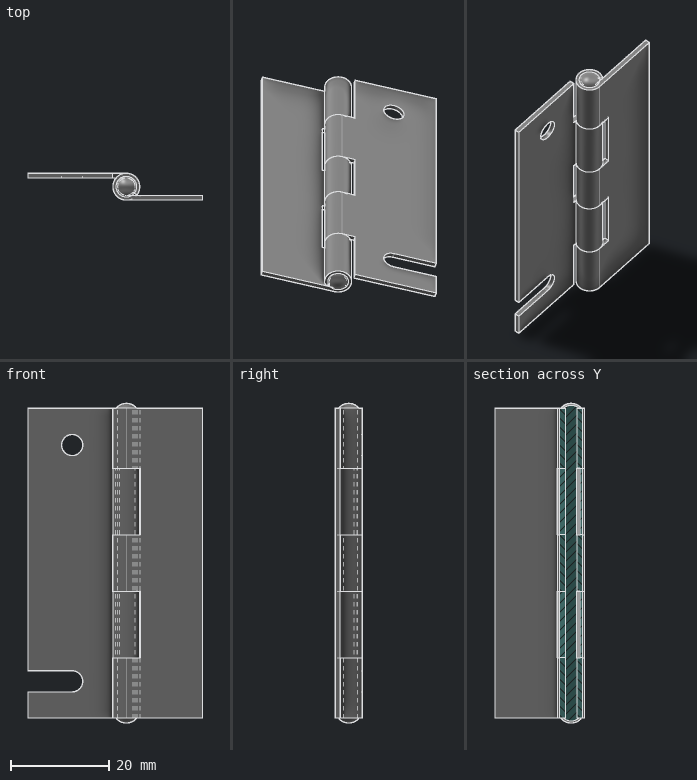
import cadquery as cq
import math

leaf_height = 63.0
sheet_thickness = 1.0
barrel_radius = 2.75
bore_radius = barrel_radius - sheet_thickness
barrel_clearance = 0.05
plate_setback = barrel_radius + barrel_clearance
curl_start_angle = 270.0
curl_end_angle = -38.0
slotted_leaf_reach = 20.0
plain_leaf_reach = 15.5

center_knuckle_length = 11.5
side_knuckle_length = 13.5
side_knuckle_offset = (center_knuckle_length + side_knuckle_length) / 2
end_knuckle_length = leaf_height / 2 - center_knuckle_length / 2 - side_knuckle_length
end_knuckle_offset = (leaf_height - end_knuckle_length) / 2
side_knuckles = [(z, side_knuckle_length) for z in (-side_knuckle_offset, side_knuckle_offset)]
plain_knuckles = [
    (-end_knuckle_offset, end_knuckle_length),
    (0, center_knuckle_length),
    (end_knuckle_offset, end_knuckle_length),
]

hole_diameter = 4.25
hole_x = -11.0
hole_z = 24.0

head_radius = 2.1
head_height = 1.0


def on_circle(radius, angle):
    """Point at a polar angle in degrees on a circle about the pin axis."""
    return radius * math.cos(math.radians(angle)), radius * math.sin(math.radians(angle))


def curled_knuckle(center_z, length):
    """Sheet running in from the plate at the -Y side and curled clockwise round the pin axis."""
    curl_middle_angle = (curl_end_angle + curl_start_angle) / 2
    return (
        cq.Workplane("XY")
        .moveTo(plate_setback, -barrel_radius)
        .lineTo(0, -barrel_radius)
        .threePointArc(
            on_circle(barrel_radius, curl_middle_angle),
            on_circle(barrel_radius, curl_end_angle),
        )
        .lineTo(*on_circle(bore_radius, curl_end_angle))
        .threePointArc(on_circle(bore_radius, curl_middle_angle), (0, -bore_radius))
        .lineTo(plate_setback, -bore_radius)
        .close()
        .extrude(length / 2, both=True)
        .translate((0, 0, center_z))
    )


def leaf(reach, knuckles):
    """Leaf along +X: a flat plate set back from the pin axis, joined to its knuckles."""
    body = (
        cq.Workplane("XY")
        .box(reach - plate_setback, sheet_thickness, leaf_height, centered=(False, False, True))
        .translate((plate_setback, -barrel_radius, 0))
    )
    for center_z, length in knuckles:
        body = body.union(curled_knuckle(center_z, length))
    return body


def across_sheet(profile):
    """Extrude an XZ profile through the full depth of the hinge."""
    return profile.extrude(2 * barrel_radius, both=True)


def make_slotted_leaf():
    """Leaf turned to lie along -X at the +Y side, with a round hole and an open-ended slot."""
    body = leaf(slotted_leaf_reach, side_knuckles).rotate((0, 0, 0), (0, 0, 1), 180)
    hole = across_sheet(cq.Workplane("XZ").center(hole_x, hole_z).circle(hole_diameter / 2))
    slot_end = across_sheet(cq.Workplane("XZ").center(hole_x, -hole_z).circle(hole_diameter / 2))
    slot_length = slotted_leaf_reach + hole_x
    slot = across_sheet(
        cq.Workplane("XZ").center(hole_x - slot_length / 2, -hole_z).rect(slot_length, hole_diameter)
    )
    return body.cut(hole).cut(slot_end).cut(slot)


def make_pin():
    """Shank filling the bore, with a spherical cap over each end of the barrel."""
    half_height = leaf_height / 2
    tip = half_height + head_height
    sphere_radius = (head_radius**2 + head_height**2) / (2 * head_height)
    half_cap = head_height / 2
    mid_radius = math.sqrt(sphere_radius**2 - (sphere_radius - half_cap) ** 2)
    mid_z = tip - half_cap
    return (
        cq.Workplane("XZ")
        .moveTo(0, -tip)
        .threePointArc((mid_radius, -mid_z), (head_radius, -half_height))
        .lineTo(bore_radius, -half_height)
        .lineTo(bore_radius, half_height)
        .lineTo(head_radius, half_height)
        .threePointArc((mid_radius, mid_z), (0, tip))
        .close()
        .revolve(360, (0, 0, 0), (0, 1, 0))
    )


slotted_leaf = make_slotted_leaf().solids()
plain_leaf = leaf(plain_leaf_reach, plain_knuckles).solids()
pin = make_pin()

result = cq.Compound.makeCompound([slotted_leaf.val(), plain_leaf.val(), pin.val()])